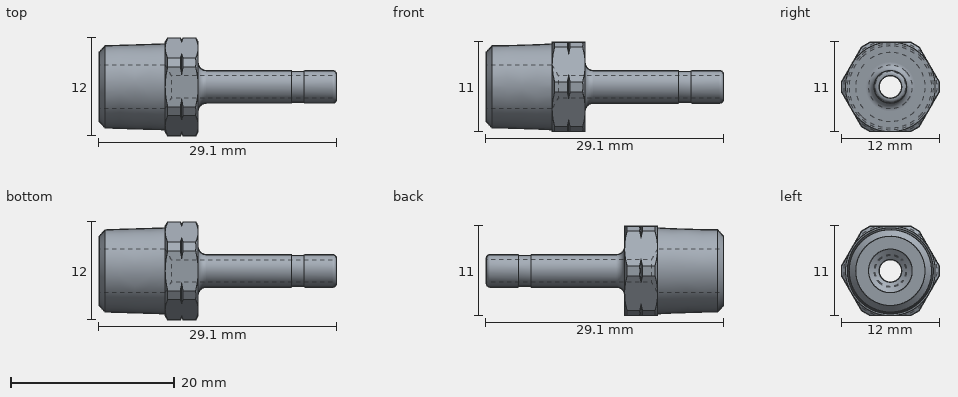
import cadquery as cq
import math

total_length = 29.1
taper_start = 0.73
gauge_plane = 4.05
hex_start = 8.1
hex_width = 4.05
hex_end = hex_start + hex_width

taper_ratio = 1 / 16
gauge_radius = 5.15
nose_radius = 4.25

across_flats = 11.0
across_corners = 12.0
hex_chamfer_length = 0.3
corner_groove_width = 0.32
corner_groove_depth = 0.3

stem_radius = 2.0
root_fillet = 1.0
stem_groove_start = 23.5
stem_groove_end = 25.3
stem_groove_depth = 0.12
groove_start_round = 0.1
groove_end_ramp = 0.17
tip_fillet = 0.5

bore_radius = 1.37
wide_bore_radius = 2.68
wide_bore_depth = hex_start
bore_cone_angle = 120.0
bore_cone_length = (wide_bore_radius - bore_radius) / math.tan(math.radians(bore_cone_angle / 2))


def revolve_about_x(profile):
    """Turn a closed XY profile a full turn about the X axis."""
    return profile.close().revolve(360, (0, 0, 0), (1, 0, 0))


def taper_radius(x):
    return gauge_radius + (x - gauge_plane) * taper_ratio / 2


def make_connection():
    return revolve_about_x(
        cq.Workplane("XY")
        .lineTo(0, nose_radius)
        .lineTo(taper_start, taper_radius(taper_start))
        .lineTo(hex_start, taper_radius(hex_start))
        .lineTo(hex_start, 0)
    )


def hex_prism(flats, turn):
    """Hexagonal bar along X; at zero turn its corners point along Y."""
    corner_diameter = flats / math.cos(math.pi / 6)
    prism = cq.Workplane("YZ").workplane(offset=hex_start).polygon(6, corner_diameter).extrude(hex_width)
    return prism.rotate((0, 0, 0), (1, 0, 0), turn)


def make_hexagon():
    hexagon = hex_prism(across_flats, 0).intersect(hex_prism(across_corners, 30))
    face_radius = across_flats / 2
    rim_radius = across_corners / 2
    outer_radius = rim_radius + corner_groove_depth / 2
    chamfer_run = hex_chamfer_length * (outer_radius - face_radius) / (rim_radius - face_radius)
    groove_radius = rim_radius - corner_groove_depth
    groove_run = corner_groove_width / 2 * (outer_radius - groove_radius) / corner_groove_depth
    middle = hex_start + hex_width / 2
    envelope = revolve_about_x(
        cq.Workplane("XY")
        .moveTo(hex_start, 0)
        .lineTo(hex_start, face_radius)
        .lineTo(hex_start + chamfer_run, outer_radius)
        .lineTo(middle - groove_run, outer_radius)
        .lineTo(middle, groove_radius)
        .lineTo(middle + groove_run, outer_radius)
        .lineTo(hex_end - chamfer_run, outer_radius)
        .lineTo(hex_end, face_radius)
        .lineTo(hex_end, 0)
    )
    return hexagon.intersect(envelope)


def make_stem():
    groove_radius = stem_radius - stem_groove_depth
    wall_x = stem_groove_start + groove_start_round
    ramp_radius = (groove_end_ramp**2 + stem_groove_depth**2) / (2 * stem_groove_depth)
    return revolve_about_x(
        cq.Workplane("XY")
        .moveTo(hex_start, 0)
        .lineTo(hex_start, stem_radius + root_fillet)
        .lineTo(hex_end, stem_radius + root_fillet)
        .radiusArc((hex_end + root_fillet, stem_radius), -root_fillet)
        .lineTo(stem_groove_start, stem_radius)
        .radiusArc((wall_x, stem_radius - groove_start_round), groove_start_round)
        .lineTo(wall_x, groove_radius)
        .lineTo(stem_groove_end - groove_end_ramp, groove_radius)
        .radiusArc((stem_groove_end, stem_radius), ramp_radius)
        .lineTo(total_length - tip_fillet, stem_radius)
        .radiusArc((total_length, stem_radius - tip_fillet), tip_fillet)
        .lineTo(total_length, 0)
    )


def make_bore():
    return revolve_about_x(
        cq.Workplane("XY")
        .lineTo(0, wide_bore_radius)
        .lineTo(wide_bore_depth, wide_bore_radius)
        .lineTo(wide_bore_depth + bore_cone_length, bore_radius)
        .lineTo(total_length, bore_radius)
        .lineTo(total_length, 0)
    )


result = make_connection().union(make_hexagon()).union(make_stem()).cut(make_bore())